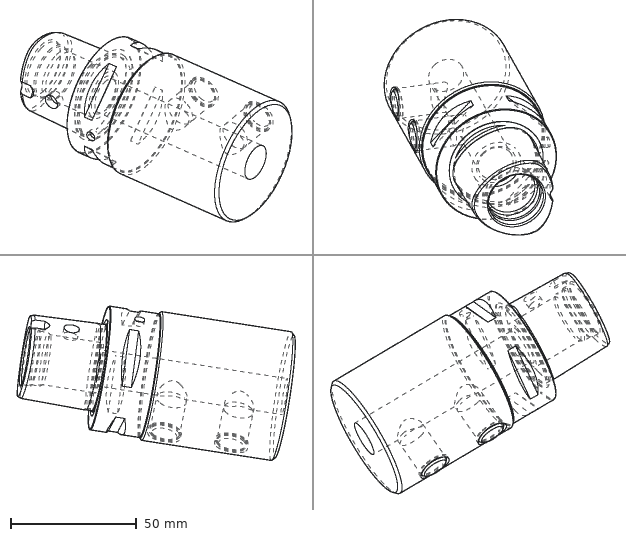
import cadquery as cq
import math

total_length = 105
taper_end = 27.7
flange_face = 30.0
body_start = 50.5

nose_radius = 16.8
taper_slope = 1 / 40
lobe_height = 1.2
lobe_half_angle = 27
nose_chamfer = 1.4
nose_chamfer_drop = 0.5
spans_per_face = 6

neck_step = 0.1
neck_radius = 17.7
trim_start = 28.4
groove_radius = 19.4

flange_diameter = 50.0
flange_chamfer = 0.3
body_diameter = 52.0
body_front_chamfer = 0.7
body_rear_chamfer = 1.3

mouth_diameter = 24.0
mouth_chamfer = 0.6
socket_diameter = 22.7
socket_depth = 4.0
collar_diameter = 21.6
collar_depth = 7.7
cavity_diameter = 20.2
cavity_start = 8.8
cavity_end = flange_face
throat_diameter = 16.5
bore_diameter = 14.5

slot_x = 39.9
slot_floor_width = 3.7
slot_wall_angle = 30
slot_floor_distance = 22
slot_angles = (45, 135, 225, 315)

drill_point_angle = 118
shank_hole_x = 16.1
shank_hole_diameter = 6.1
shank_hole_depth = 3.7
dimple_x = 42
dimple_diameter = 4.0
dimple_depth = 2.1
notch_diameter = 7.6
notch_point_angle = 90
notch_y = -17.7
notch_length = 5.4

screw_positions = (61.0, 88.1)
screw_diameter = 12.0
screw_chamfer = 0.8
screw_top = body_diameter / 2
screw_bottom = 9.5
screw_hole_rim = 13.3
screw_rim_depth = 1.7

shank_start_radius = nose_radius + taper_slope * nose_chamfer
shank_end_radius = nose_radius + taper_slope * taper_end


def lobe_point(mean_radius, angle):
    """(Y, Z) point of the three-lobed outline whose normal makes this angle with +Y."""
    turn = math.radians(angle)
    reach = mean_radius + lobe_height * math.cos(3 * turn)
    shift = -3 * lobe_height * math.sin(3 * turn)
    return (
        reach * math.cos(turn) - shift * math.sin(turn),
        reach * math.sin(turn) + shift * math.cos(turn),
    )


def lobe_wire(x, mean_radius):
    """Three-lobed outline at one X: one face on each lobe and one between each pair of lobes."""
    edges = []
    for lobe in (0, 120, 240):
        face_ends = (lobe - lobe_half_angle, lobe + lobe_half_angle, lobe + 120 - lobe_half_angle)
        for start, end in zip(face_ends, face_ends[1:]):
            step = (end - start) / spans_per_face
            outline = [lobe_point(mean_radius, start + step * i) for i in range(spans_per_face + 1)]
            edges.append(cq.Edge.makeSpline([cq.Vector(x, y, z) for y, z in outline]))
    return cq.Wire.assembleEdges(edges)


def lobe_section(start, start_radius, end, end_radius):
    wires = [lobe_wire(start, start_radius), lobe_wire(end, end_radius)]
    return cq.Workplane(cq.Solid.makeLoft(wires, True))


def turned(profile):
    """Solid of revolution about X; the profile lists (X, radius) points."""
    return cq.Workplane("XY").polyline(profile).close().revolve(360, (0, 0, 0), (1, 0, 0))


def drill(start, direction, diameter, depth, point_angle):
    """Drill-shaped cutter: a cylinder of the given depth with a conical point beyond it."""
    radius = diameter / 2
    point = radius / math.tan(math.radians(point_angle / 2))
    cutter = (
        cq.Workplane("XZ")
        .polyline([(0, 0), (radius, 0), (radius, depth), (0, depth + point)])
        .close()
        .revolve(360, (0, 0, 0), (0, 1, 0))
    )
    plane = cq.Plane(origin=start, normal=direction)
    return cq.Workplane(cutter.val().moved(cq.Location(plane)))


def make_shank():
    nose = lobe_section(0, nose_radius - nose_chamfer_drop, nose_chamfer, shank_start_radius)
    taper = lobe_section(nose_chamfer, shank_start_radius, taper_end, shank_end_radius)
    neck_mean_radius = shank_end_radius - neck_step
    neck = lobe_section(taper_end, neck_mean_radius, flange_face, neck_mean_radius)
    return nose.union(taper).union(neck)


def make_neck_groove():
    """Ring that trims the lobes behind the taper and ends as a rounded groove in the flange."""
    trim_run = groove_radius - neck_radius
    groove_middle = (neck_radius + groove_radius) / 2
    return (
        cq.Workplane("XY")
        .moveTo(trim_start, neck_radius)
        .lineTo(flange_face, neck_radius)
        .threePointArc((flange_face + trim_run / 2, groove_middle), (flange_face, groove_radius))
        .lineTo(trim_start - trim_run, groove_radius)
        .close()
        .revolve(360, (0, 0, 0), (1, 0, 0))
    )


def make_barrel():
    flange_radius = flange_diameter / 2
    body_radius = body_diameter / 2
    return turned([
        (flange_face, 0),
        (flange_face, flange_radius - flange_chamfer),
        (flange_face + flange_chamfer, flange_radius),
        (body_start - flange_chamfer, flange_radius),
        (body_start, flange_radius - flange_chamfer),
        (body_start, body_radius - body_front_chamfer),
        (body_start + body_front_chamfer, body_radius),
        (total_length - body_rear_chamfer, body_radius),
        (total_length, body_radius - body_rear_chamfer),
        (total_length, 0),
    ])


def make_bore():
    collar_start = socket_depth + (socket_diameter - collar_diameter) / 2
    throat_length = (throat_diameter - bore_diameter) / 2
    return turned([
        (0, 0),
        (0, mouth_diameter / 2),
        (mouth_chamfer, socket_diameter / 2),
        (socket_depth, socket_diameter / 2),
        (collar_start, collar_diameter / 2),
        (collar_depth, collar_diameter / 2),
        (cavity_start, cavity_diameter / 2),
        (cavity_end, cavity_diameter / 2),
        (cavity_end, throat_diameter / 2),
        (cavity_end + throat_length, bore_diameter / 2),
        (total_length, bore_diameter / 2),
        (total_length, 0),
    ])


def make_slot(angle):
    """Trapezoidal cutter across the flange, facing out at this angle from +Y."""
    depth = body_diameter / 2 - slot_floor_distance
    floor_half = slot_floor_width / 2
    top_half = floor_half + depth * math.tan(math.radians(slot_wall_angle))
    return (
        cq.Workplane("XY")
        .polyline([
            (slot_x - floor_half, slot_floor_distance),
            (slot_x + floor_half, slot_floor_distance),
            (slot_x + top_half, slot_floor_distance + depth),
            (slot_x - top_half, slot_floor_distance + depth),
        ])
        .close()
        .extrude(flange_diameter / 2, both=True)
        .rotate((0, 0, 0), (1, 0, 0), angle)
    )


def make_screw_hole(x):
    """Radial hole from the bore out to +Y, widened at its mouth."""
    plane = cq.Plane(origin=(x, 0, 0), xDir=(1, 0, 0), normal=(0, 1, 0))
    hole = cq.Workplane(plane).circle(screw_diameter / 2).extrude(body_diameter / 2)
    rim = (
        cq.Workplane(plane)
        .workplane(offset=screw_top - screw_rim_depth)
        .circle(screw_hole_rim / 2)
        .extrude(body_diameter / 2)
    )
    return hole.union(rim)


def make_holder():
    holder = make_shank().union(make_barrel()).cut(make_neck_groove()).cut(make_bore())
    for angle in slot_angles:
        holder = holder.cut(make_slot(angle))

    shank_surface = lobe_point(nose_radius + taper_slope * shank_hole_x, 180)[0]
    into_holder = (0, 1, 0)
    holder = holder.cut(drill(
        (shank_hole_x, shank_surface - 1, 0), into_holder,
        shank_hole_diameter, shank_hole_depth + 1, drill_point_angle,
    ))
    holder = holder.cut(drill(
        (dimple_x, -flange_diameter / 2, 0), into_holder,
        dimple_diameter, dimple_depth, drill_point_angle,
    ))
    holder = holder.cut(drill(
        (0, notch_y, 0), (1, 0, 0), notch_diameter, notch_length, notch_point_angle,
    ))
    for x in screw_positions:
        holder = holder.cut(make_screw_hole(x))
    return holder


def make_screw(x):
    plane = cq.Plane(origin=(x, screw_bottom, 0), xDir=(1, 0, 0), normal=(0, 1, 0))
    return (
        cq.Workplane(plane)
        .circle(screw_diameter / 2)
        .extrude(screw_top - screw_bottom)
        .faces(">Y")
        .chamfer(screw_chamfer)
    )


holder = make_holder()
screws = [make_screw(x) for x in screw_positions]

result = cq.Compound.makeCompound([holder.val(), *[screw.val() for screw in screws]])